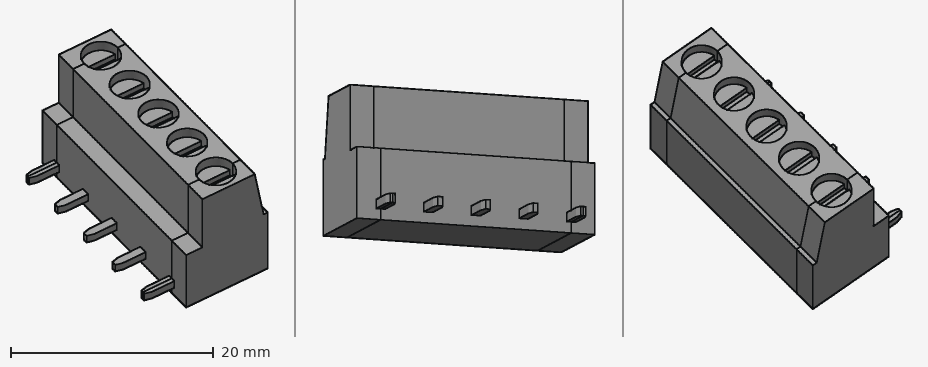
import cadquery as cq

pole_count = 5
pitch = 5.0
end_width = pitch / 2
length = pole_count * pitch
pole_positions = [end_width + i * pitch for i in range(pole_count)]

depth = 9.8
height = 13.8
front_step_height = 7.2
front_step_depth = 1.95
back_ledge_height = 7.7
back_ledge_depth = 0.5
back_top_inset = 1.55

well_diameter = 4.0
well_depth = 1.2
well_centre_y = 5.3
slot_width = 0.8
slot_depth = 0.7

pin_width = 0.92
pin_length = 3.5
pin_taper_length = 0.8
pin_tip_width = 0.5
pin_base_z = 1.1
pin_thickness = 0.92


def stepped_block():
    """Stepped housing profile extruded along the whole row of poles."""
    profile = [
        (0, 0),
        (depth, 0),
        (depth, back_ledge_height),
        (depth - back_ledge_depth, back_ledge_height),
        (depth - back_top_inset, height),
        (front_step_depth, height),
        (front_step_depth, front_step_height),
        (0, front_step_height),
    ]
    return cq.Workplane("YZ").polyline(profile).close().extrude(length)


def screw_well(x):
    """Round well with a driver slot across its floor, as a cutting shape."""
    well_floor = height - well_depth
    slot_floor = well_floor - slot_depth
    slot = (
        cq.Workplane("XY", origin=(x, well_centre_y, slot_floor))
        .rect(slot_width, well_diameter)
        .extrude(slot_depth)
    )
    slot_bounds = (
        cq.Workplane("XY", origin=(x, well_centre_y, slot_floor))
        .circle(well_diameter / 2)
        .extrude(slot_depth)
    )
    well = (
        cq.Workplane("XY", origin=(x, well_centre_y, well_floor))
        .circle(well_diameter / 2)
        .extrude(well_depth)
    )
    return well.union(slot.intersect(slot_bounds))


def solder_pin(x):
    """Flat pin that leaves the front face and narrows towards its tip."""
    taper_start = pin_taper_length - pin_length
    outline = [
        (x - pin_width / 2, 0),
        (x - pin_width / 2, taper_start),
        (x - pin_tip_width / 2, -pin_length),
        (x + pin_tip_width / 2, -pin_length),
        (x + pin_width / 2, taper_start),
        (x + pin_width / 2, 0),
    ]
    return (
        cq.Workplane("XY", origin=(0, 0, pin_base_z))
        .polyline(outline)
        .close()
        .extrude(pin_thickness)
    )


def terminal_row():
    """Full row of poles before it is divided into sections."""
    row = stepped_block()
    for x in pole_positions:
        row = row.cut(screw_well(x))
        row = row.union(solder_pin(x))
    return row


def section(row, x_start, x_end):
    """Part of the row between two planes across its length."""
    slab = cq.Workplane("XY").box(
        x_end - x_start, depth + pin_length, height, centered=False
    )
    return row.intersect(slab.translate((x_start, -pin_length, 0))).solids()


full_row = terminal_row()

left_end = section(full_row, 0, end_width)
right_end = section(full_row, length - end_width, length)

middle = section(full_row, end_width, length - end_width)

result = cq.Compound.makeCompound([left_end.val(), middle.val(), right_end.val()])